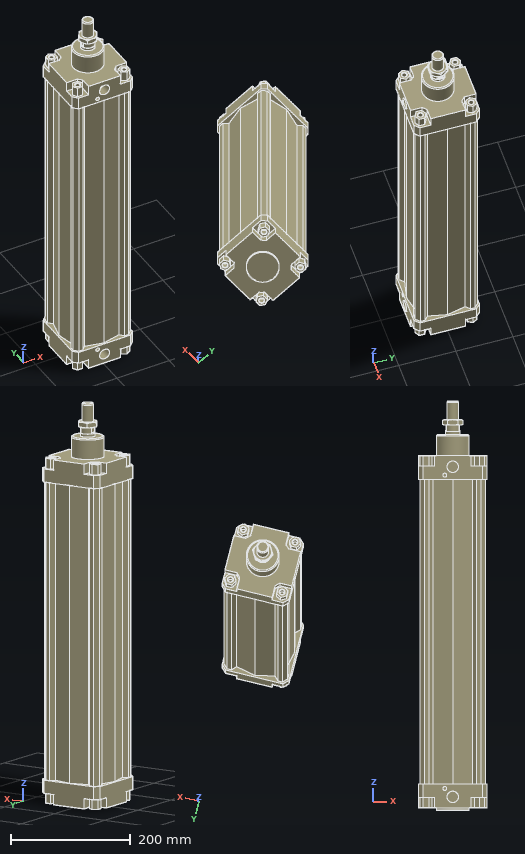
import cadquery as cq
import math


side_count = 4
cap_width = 115.0
cap_height = 40.0
cap_corner_chamfer = 8.0
stroke = 450.0
body_length_without_stroke = 138.0
body_length = body_length_without_stroke + stroke
barrel_length = body_length - 2 * cap_height

barrel_half_width = 54.8
valley_position = 33.0
valley_half_width = 47.5
lobe_inner_edge = 40.0
lobe_outer_edge = 47.5

collar_diameter = 55.0
front_collar_chamfer = 2.0
front_collar_height = 35.0
rear_collar_height = 4.0

nut_spacing = 89.0
notch_size = 27.0
notch_depth = 17.5
notch_inner_chamfer = 6.5
corner_nut_flats = 17.0
corner_nut_hole = 8.5
corner_nut_countersink = 10.0

port_diameter = 19.0
port_depth = 20.0
port_inset = 18.5
screw_diameter = 6.5
screw_depth = 10.0
screw_inset = 32.5
screw_offset = -13.3

rod_diameter = 25.0
neck_diameter = 24.0
neck_flats = 22.0
thread_diameter = 20.0
thread_length = 40.0
thread_chamfer_width = 1.5
thread_chamfer_length = 2.5
rod_projection = 51.0
neck_length = 11.0
flats_length = 9.0
shoulder_z = body_length + rod_projection

lock_nut_flats = 30.0
lock_nut_height = 9.0

bevel_slope = math.tan(math.radians(30))
hex_corner_ratio = 1 / math.cos(math.radians(30))


def cylinder(diameter, bottom, height):
    return cq.Workplane("XY").workplane(offset=bottom).circle(diameter / 2).extrude(height)


def hexagon(flats, bottom, height):
    """Hexagonal prism on the Z axis with corners on the X axis."""
    plane = cq.Workplane("XY").workplane(offset=bottom)
    return plane.polygon(6, flats * hex_corner_ratio).extrude(height)


def barrel():
    """Square profile whose four equal sides follow each other by quarter turns."""
    side = [
        (-lobe_outer_edge, -barrel_half_width),
        (-lobe_inner_edge, -barrel_half_width),
        (-valley_position, -valley_half_width),
        (0, -barrel_half_width),
        (valley_position, -valley_half_width),
        (lobe_inner_edge, -barrel_half_width),
        (lobe_outer_edge, -barrel_half_width),
    ]
    outline = []
    for _ in range(side_count):
        outline += side
        side = [(-y, x) for x, y in side]
    plane = cq.Workplane("XY").workplane(offset=cap_height)
    return plane.polyline(outline).close().extrude(barrel_length)


def corner_notch():
    """Square cutter for the +X +Y corner, with its inner edge chamfered."""
    inner = cap_width / 2 - notch_size
    cutter = cq.Workplane("XY").box(notch_size, notch_size, notch_depth, centered=False)
    return cutter.edges("|Z and <X and <Y").chamfer(notch_inner_chamfer).translate((inner, inner, 0))


def corner_nut():
    """Nut in the +X +Y corner, with a countersunk hole ending in a conical tip."""
    nut = hexagon(corner_nut_flats, 0, notch_depth)
    radius = corner_nut_hole / 2
    tip_height = radius * bevel_slope
    tip = cq.Workplane("XY").add(cq.Solid.makeCone(radius, 0, tip_height))
    hole = cylinder(corner_nut_hole, 0, notch_depth - tip_height)
    hole = hole.union(tip.translate((0, 0, notch_depth - tip_height)))
    nut = nut.cut(hole)
    countersink_depth = (corner_nut_countersink - corner_nut_hole) / 2
    nut = nut.faces("<Z").edges("%CIRCLE").chamfer(countersink_depth)
    return nut.translate((nut_spacing / 2, nut_spacing / 2, 0))


def side_hole(diameter, depth, x, z):
    """Blind hole drilled in from the -Y face of a cap."""
    plane = cq.Workplane("XZ", origin=(x, -cap_width / 2, z))
    return plane.circle(diameter / 2).extrude(-depth)


def rear_cap():
    cap = cq.Workplane("XY").box(cap_width, cap_width, cap_height, centered=(True, True, False))
    cap = cap.edges("|Z").chamfer(cap_corner_chamfer)
    for corner in range(side_count):
        angle = corner * 360 / side_count
        cap = cap.cut(corner_notch().rotate((0, 0, 0), (0, 0, 1), angle))
        cap = cap.union(corner_nut().rotate((0, 0, 0), (0, 0, 1), angle))
    cap = cap.cut(side_hole(port_diameter, port_depth, 0, port_inset))
    return cap.cut(side_hole(screw_diameter, screw_depth, screw_offset, screw_inset))


def front_cap():
    """Same cap as the rear one, mirrored about the middle of the body."""
    return rear_cap().mirror("XY").translate((0, 0, body_length))


def make_housing():
    rear_collar = cylinder(collar_diameter, -rear_collar_height, rear_collar_height)
    front_collar = cylinder(collar_diameter, body_length, front_collar_height)
    front_collar = front_collar.faces(">Z").chamfer(front_collar_chamfer)
    housing = rear_cap().union(barrel()).union(front_cap())
    housing = housing.union(rear_collar).union(front_collar)
    return housing.cut(cylinder(rod_diameter, body_length, front_collar_height))


def make_rod():
    shank = cylinder(rod_diameter, body_length, rod_projection - neck_length)
    neck = cylinder(neck_diameter, shoulder_z - neck_length, neck_length)
    flats = cq.Workplane("XY").box(neck_flats, neck_diameter, flats_length)
    upper_neck = cylinder(neck_diameter, shoulder_z - flats_length, flats_length)
    offcuts = upper_neck.cut(flats.translate((0, 0, shoulder_z - flats_length / 2)))
    thread = cylinder(thread_diameter, shoulder_z, thread_length)
    thread = thread.faces(">Z").chamfer(thread_chamfer_length, thread_chamfer_width)
    return shank.union(neck.cut(offcuts)).union(thread)


def make_lock_nut():
    """Hexagon nut whose corners are turned to a 30 degree cone at both ends."""
    corner_diameter = lock_nut_flats * hex_corner_ratio
    bevel_width = (corner_diameter - lock_nut_flats) / 2
    bevel_height = bevel_width * bevel_slope
    envelope = cylinder(corner_diameter, shoulder_z, lock_nut_height)
    envelope = envelope.faces("<Z").chamfer(bevel_height, bevel_width)
    envelope = envelope.faces(">Z").chamfer(bevel_height, bevel_width)
    nut = hexagon(lock_nut_flats, shoulder_z, lock_nut_height).intersect(envelope)
    return nut.cut(cylinder(thread_diameter, shoulder_z, lock_nut_height))


housing = make_housing()
piston_rod = make_rod()
lock_nut = make_lock_nut()

result = cq.Compound.makeCompound([housing.val(), piston_rod.val(), lock_nut.val()])